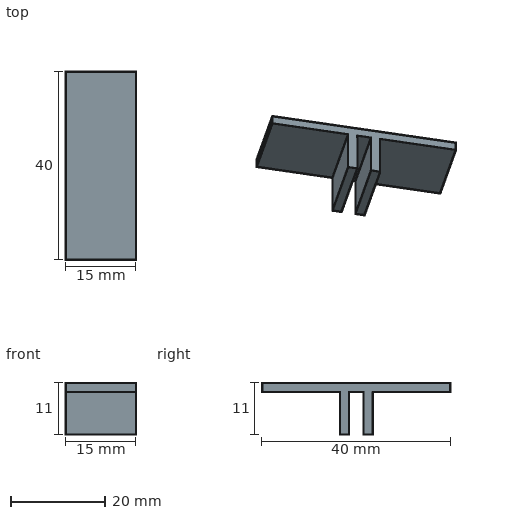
import cadquery as cq

width = 15.0
plate_length = 40.0
plate_thickness = 2.0

overall_height = 11.0
leg_thickness = 2.0
leg_gap = 3.0

leg_drop = overall_height - plate_thickness
leg_offset = (leg_gap + leg_thickness) / 2


def make_plate():
    """Flat plate with its underside on Z = 0."""
    return cq.Workplane("XY").box(width, plate_length, plate_thickness, centered=(True, True, False))


def make_leg(y_center):
    """Leg hanging from the plate underside, centred at the given Y."""
    return (
        cq.Workplane("XY")
        .center(0, y_center)
        .rect(width, leg_thickness)
        .extrude(-leg_drop)
    )


result = make_plate()
for side in (-1, 1):
    result = result.union(make_leg(side * leg_offset))